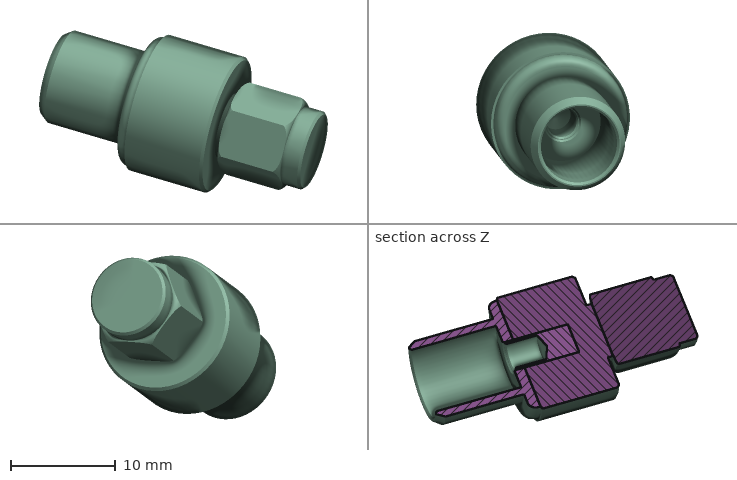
import cadquery as cq
import math

FLANGE_X = 8.7
BODY_X = 9.8
BODY_END_X = 17.7
NUT_X = 18.22
HEX_END_X = 24.7
TOTAL_LENGTH = 26.6

TUBE_RADIUS = 4.6
TUBE_CHAMFER_LENGTH = 0.77
TUBE_CHAMFER_DEPTH = 0.55
BORE_RADIUS = 3.7
BORE_CHAMFER = 0.2
BORE_DEPTH = FLANGE_X
FLANGE_REAR_RADIUS = 6.52
FLANGE_TAPER = 12.0
FLANGE_ROUND = 0.77

BARREL_RADIUS = 6.75
BARREL_CHAMFER = 0.27
NECK_RADIUS = 3.2

HEX_ACROSS_FLATS = 8.0
HEX_TURN = 49.5
HEX_FACE_RADIUS = 3.72
HEX_CORNER_ROUND = 0.95
COLLAR_RADIUS = 3.88
COLLAR_CHAMFER = 0.25

CONTACT_RADIUS = 1.65
CONTACT_HOLE_CHAMFER = 0.15
CONTACT_X = BORE_DEPTH + CONTACT_HOLE_CHAMFER
CONTACT_LENGTH = 6.38
SOCKET_RADIUS = 1.4
SOCKET_CHAMFER = 0.15
SOCKET_DEPTH = 3.2
DRILL_POINT_ANGLE = 140.0


def revolve_profile(points):
    """Turn a closed (x, radius) outline around the X axis."""
    return cq.Workplane("XY").polyline(points).close().revolve(360, (0, 0, 0), (1, 0, 0))


def cylinder(start_x, end_x, radius):
    return cq.Workplane("YZ").workplane(offset=start_x).circle(radius).extrude(end_x - start_x)


def make_housing():
    taper_rise = (BODY_X - FLANGE_X) * math.tan(math.radians(FLANGE_TAPER))
    flange_front_radius = FLANGE_REAR_RADIUS - taper_rise
    flange = revolve_profile([
        (FLANGE_X, 0),
        (FLANGE_X, flange_front_radius),
        (BODY_X, FLANGE_REAR_RADIUS),
        (BODY_X, 0),
    ])
    flange = flange.faces("<X").edges().fillet(FLANGE_ROUND)
    tube = revolve_profile([
        (0, 0),
        (0, TUBE_RADIUS - TUBE_CHAMFER_DEPTH),
        (TUBE_CHAMFER_LENGTH, TUBE_RADIUS),
        (BODY_X, TUBE_RADIUS),
        (BODY_X, 0),
    ])
    bore = revolve_profile([
        (0, 0),
        (0, BORE_RADIUS + BORE_CHAMFER),
        (BORE_CHAMFER, BORE_RADIUS),
        (BORE_DEPTH, BORE_RADIUS),
        (BORE_DEPTH, CONTACT_RADIUS + CONTACT_HOLE_CHAMFER),
        (CONTACT_X, CONTACT_RADIUS),
        (BODY_X, CONTACT_RADIUS),
        (BODY_X, 0),
    ])
    return flange.union(tube).cut(bore)


def make_main_body():
    barrel = cylinder(BODY_X, BODY_END_X, BARREL_RADIUS).faces(">X").chamfer(BARREL_CHAMFER)
    neck = cylinder(BODY_END_X, NUT_X, NECK_RADIUS)
    contact_recess = cylinder(BODY_X, CONTACT_X + CONTACT_LENGTH, CONTACT_RADIUS)
    return barrel.union(neck).cut(contact_recess)


def make_nut():
    corner_radius = HEX_ACROSS_FLATS / math.sqrt(3)
    hexagon = (
        cq.Workplane("YZ").workplane(offset=NUT_X)
        .transformed(rotate=(0, 0, HEX_TURN))
        .polygon(6, 2 * corner_radius)
        .extrude(HEX_END_X - NUT_X)
    )
    envelope_radius = HEX_FACE_RADIUS + HEX_CORNER_ROUND
    envelope = cylinder(NUT_X, HEX_END_X, envelope_radius).edges("%CIRCLE").fillet(HEX_CORNER_ROUND)
    collar_root_x = HEX_END_X - HEX_CORNER_ROUND
    collar = cylinder(collar_root_x, TOTAL_LENGTH, COLLAR_RADIUS).faces(">X").chamfer(COLLAR_CHAMFER)
    return hexagon.intersect(envelope).union(collar)


def make_contact():
    socket_end = CONTACT_X + SOCKET_DEPTH
    drill_tip = socket_end + SOCKET_RADIUS / math.tan(math.radians(DRILL_POINT_ANGLE / 2))
    contact_end = CONTACT_X + CONTACT_LENGTH
    return revolve_profile([
        (CONTACT_X, SOCKET_RADIUS + SOCKET_CHAMFER),
        (CONTACT_X, CONTACT_RADIUS),
        (contact_end, CONTACT_RADIUS),
        (contact_end, 0),
        (drill_tip, 0),
        (socket_end, SOCKET_RADIUS),
        (CONTACT_X + SOCKET_CHAMFER, SOCKET_RADIUS),
    ])


housing = make_housing()
main_body = make_main_body()
nut = make_nut()
contact = make_contact()

result = cq.Compound.makeCompound([housing.val(), main_body.val(), nut.val(), contact.val()])